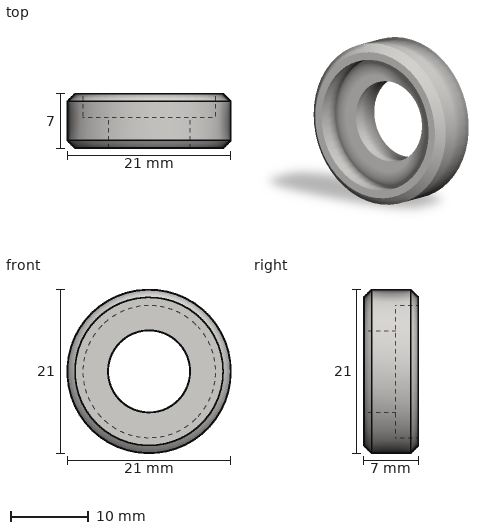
import cadquery as cq

outer_diameter = 21.0
bore_diameter = 10.5
width = 7.0
rim_chamfer = 1.0
counterbore_diameter = 17.0
counterbore_depth = 3.0

front_y = -width / 2
back_y = width / 2


def cylinder_along_y(diameter, start_y, end_y):
    """Solid cylinder on the Y axis from start_y to end_y."""
    base = cq.Workplane("XZ", origin=(0, start_y, 0))
    return base.circle(diameter / 2).extrude(start_y - end_y)


def ring_body():
    """Solid disc with both outer rims chamfered."""
    disc = cylinder_along_y(outer_diameter, front_y, back_y)
    return disc.faces("<Y or >Y").edges().chamfer(rim_chamfer)


def stepped_bore():
    """Through bore with a counterbore opening on the +Y face."""
    bore = cylinder_along_y(bore_diameter, front_y, back_y)
    counterbore = cylinder_along_y(counterbore_diameter, back_y - counterbore_depth, back_y)
    return bore.union(counterbore)


result = ring_body().cut(stepped_bore())